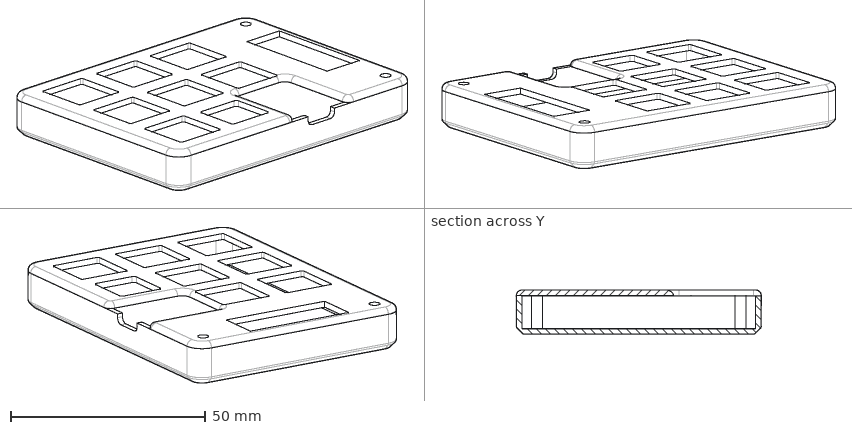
import cadquery as cq

WIDTH = 63.0
LENGTH = 83.8
HEIGHT = 11.5
CORNER_RADIUS = 4.5

WALL = 1.5
FLOOR = 1.5
LID_THICKNESS = 1.6
TRAY_HEIGHT = HEIGHT - LID_THICKNESS

TOP_ROUND = 1.5
BOTTOM_CHAMFER = 1.8
CHAMFER_BLEND = 0.8

KEY_PITCH = 19.0
KEY_SIZE = 14.0
KEY_CORNER = 0.5
COLUMN_X = [-KEY_PITCH, 0, KEY_PITCH]
ROW_Y = [-1.5 * KEY_PITCH, -0.5 * KEY_PITCH, 0.5 * KEY_PITCH]
KEY_CELLS = [(0, 0), (1, 0), (2, 0), (0, 1), (1, 1), (0, 2), (1, 2)]

SMALL_WINDOW_X_SIZE = 12.4
SMALL_WINDOW_Y_SIZE = 13.0
SMALL_WINDOW_CORNER = 0.8
SMALL_WINDOW_X = 19.2
SMALL_WINDOW_Y = -10.2

DISPLAY_X_SIZE = 30.0
DISPLAY_Y_SIZE = 11.5
DISPLAY_X = -1.5
DISPLAY_Y = 33.6

BAY_X_MIN = 8.05
BAY_Y_SIZE = 18.6
BAY_Y = 8.9
BAY_INNER_RADIUS = 2.3
BAY_MOUTH_RADIUS = 2.0

NOTCH_WIDTH = 9.3
NOTCH_DEPTH = 2.5
NOTCH_RADIUS = 1.5
NOTCH_Y = 8.8

POST_DIAMETER = 2.8
POST_X = 26.15
POST_Y = 36.6
POST_POSITIONS = [(-POST_X, POST_Y), (POST_X, POST_Y)]


def rounded_block(x_size, y_size, height, radius):
    """Upright block with rounded vertical edges, standing on Z = 0."""
    block = cq.Workplane("XY").box(x_size, y_size, height, centered=(True, True, False))
    return block.edges("|Z").fillet(radius)


def window(x, y, x_size, y_size, corner=0.0):
    """Cutter that passes through the lid at (x, y)."""
    cutter = cq.Workplane("XY").box(x_size, y_size, LID_THICKNESS, centered=(True, True, False))
    if corner > 0:
        cutter = cutter.edges("|Z").fillet(corner)
    return cutter.translate((x, y, TRAY_HEIGHT))


def posts(bottom):
    """Both post cylinders, from the given height to the top of the case."""
    layout = cq.Workplane("XY").workplane(offset=bottom).pushPoints(POST_POSITIONS)
    return layout.circle(POST_DIAMETER / 2).extrude(HEIGHT - bottom)


def lid_blank():
    """Lid plate with the open bay and one continuous round along its top edge."""
    side = WIDTH / 2
    bay_length = side - BAY_X_MIN
    plate = rounded_block(WIDTH, LENGTH, LID_THICKNESS, CORNER_RADIUS)
    bay = cq.Workplane("XY").box(bay_length, BAY_Y_SIZE, LID_THICKNESS, centered=(False, True, False))
    bay = bay.edges("|Z and <X").fillet(BAY_INNER_RADIUS).translate((BAY_X_MIN, BAY_Y, 0))
    plate = plate.cut(bay)
    for direction in (-1, 1):
        mouth = (side, BAY_Y + direction * BAY_Y_SIZE / 2, LID_THICKNESS / 2)
        plate = plate.edges(cq.selectors.NearestToPointSelector(mouth)).fillet(BAY_MOUTH_RADIUS)
    plate = plate.faces(">Z").edges().fillet(TOP_ROUND)
    return plate.translate((0, 0, TRAY_HEIGHT))


def make_lid():
    lid = lid_blank()
    for column, row in KEY_CELLS:
        lid = lid.cut(window(COLUMN_X[column], ROW_Y[row], KEY_SIZE, KEY_SIZE, KEY_CORNER))
    lid = lid.cut(window(SMALL_WINDOW_X, SMALL_WINDOW_Y, SMALL_WINDOW_X_SIZE, SMALL_WINDOW_Y_SIZE,
                         SMALL_WINDOW_CORNER))
    lid = lid.cut(window(DISPLAY_X, DISPLAY_Y, DISPLAY_X_SIZE, DISPLAY_Y_SIZE))
    return lid.cut(posts(TRAY_HEIGHT))


def connector_notch():
    """Cutter for the notch, open at the rim and rounded at its two lower corners."""
    notch = cq.Workplane("XY").box(2 * WALL, NOTCH_WIDTH, NOTCH_DEPTH, centered=(True, True, False))
    notch = notch.edges("|X and <Z").fillet(NOTCH_RADIUS)
    return notch.translate((WIDTH / 2, NOTCH_Y, TRAY_HEIGHT - NOTCH_DEPTH))


def make_tray():
    tray = rounded_block(WIDTH, LENGTH, TRAY_HEIGHT, CORNER_RADIUS)
    tray = tray.faces("<Z").edges().chamfer(BOTTOM_CHAMFER)
    underside_rim = tray.faces("<Z").edges()
    wall_rim = tray.edges(cq.selectors.BoxSelector(
        (-WIDTH, -LENGTH, BOTTOM_CHAMFER / 2), (WIDTH, LENGTH, BOTTOM_CHAMFER + CHAMFER_BLEND),
        boundingbox=True))
    tray = underside_rim.add(wall_rim).fillet(CHAMFER_BLEND)
    cavity = rounded_block(WIDTH - 2 * WALL, LENGTH - 2 * WALL, TRAY_HEIGHT - FLOOR, CORNER_RADIUS - WALL)
    tray = tray.cut(cavity.translate((0, 0, FLOOR)))
    tray = tray.cut(connector_notch())
    return tray.union(posts(FLOOR))


lid = make_lid()
tray = make_tray()

result = cq.Compound.makeCompound([lid.solids().val(), tray.solids().val()])